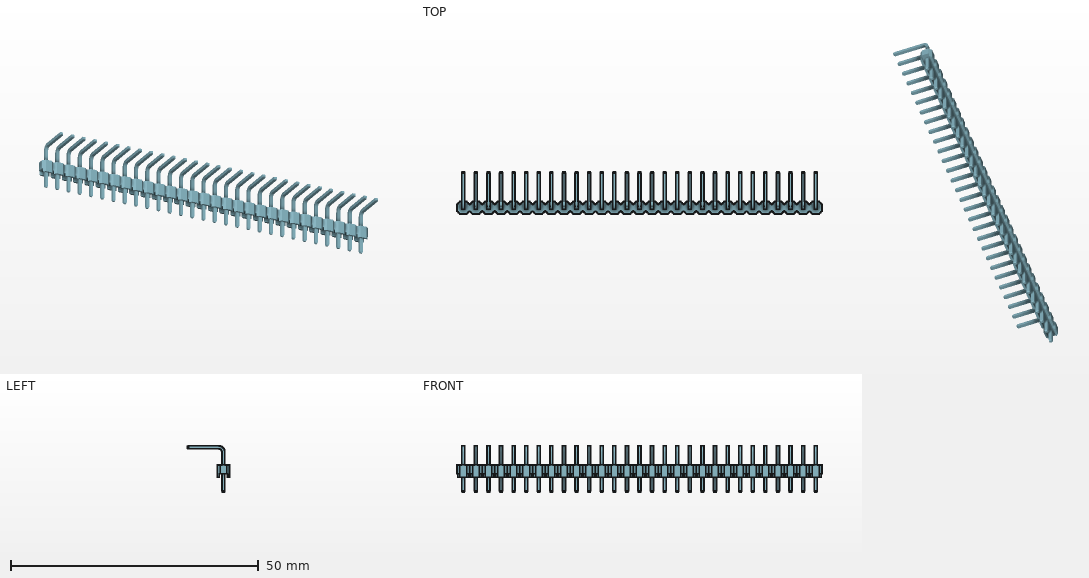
import cadquery as cq


pin_count = 29
row_length = 73.65
pitch = row_length / pin_count

housing_depth = pitch
housing_height = pitch
cell_chamfer = 0.605
channel_width = 1.6
channel_height = 0.7

pin_width = 0.64
total_depth = 8.55
total_height = 9.35
pin_below_housing = 2.95
tip_length = 0.3
tip_inset = 0.11

pin_bottom = -pin_below_housing
pin_top = pin_bottom + total_height
leg_end = total_depth - housing_depth / 2
leg_axis_height = pin_top - pin_width / 2
bend_inner_radius = pin_width
bend_radius = bend_inner_radius + pin_width / 2
tip_width = pin_width - 2 * tip_inset

pin_positions = [(i - (pin_count - 1) / 2) * pitch for i in range(pin_count)]


def make_housing():
    """Chain of octagonal cells with a channel along the underside."""
    cell = (
        cq.Workplane("XY")
        .box(pitch, housing_depth, housing_height, centered=(True, True, False))
        .edges("|Z")
        .chamfer(cell_chamfer)
    )
    cells = cq.Workplane("XY")
    for x in pin_positions:
        cells = cells.add(cell.translate((x, 0, 0)))
    channel = cq.Workplane("XY").box(
        row_length, channel_width, channel_height, centered=(True, True, False)
    )
    return cells.combine().cut(channel)


def make_tip(base_centre, direction):
    """Tapered pin end that starts at full width and narrows along the given direction."""
    return (
        cq.Workplane(cq.Plane(base_centre, (1, 0, 0), direction))
        .rect(pin_width, pin_width)
        .workplane(offset=tip_length)
        .rect(tip_width, tip_width)
        .loft(ruled=True)
    )


def make_pin():
    """Square wire: a vertical post, a round bend towards +Y, and a horizontal leg."""
    post_start = pin_bottom + tip_length
    leg_taper_start = leg_end - tip_length
    wire_path = (
        cq.Workplane("YZ")
        .moveTo(0, post_start)
        .lineTo(0, leg_axis_height - bend_radius)
        .tangentArcPoint((bend_radius, leg_axis_height), relative=False)
        .lineTo(leg_taper_start, leg_axis_height)
    )
    wire = (
        cq.Workplane("XY", origin=(0, 0, post_start))
        .rect(pin_width, pin_width)
        .sweep(wire_path)
    )
    post_tip = make_tip((0, 0, post_start), (0, 0, -1))
    leg_tip = make_tip((0, leg_taper_start, leg_axis_height), (0, 1, 0))
    return wire.union(post_tip).union(leg_tip)


pin = make_pin()
result = make_housing()
for x in pin_positions:
    result = result.union(pin.translate((x, 0, 0)))